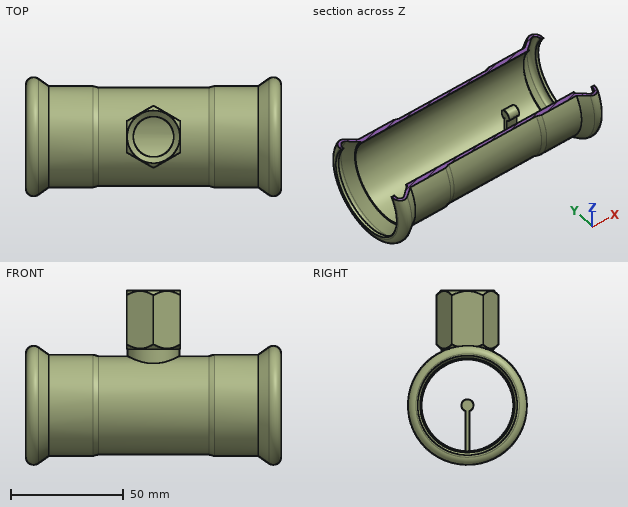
import cadquery as cq
import math

half_length = 57.0
wall = 1.6
body_radius = 22.0
socket_radius = 22.7
socket_step_x = 27.0
step_run = 2.4

lip_diameter = 53.2
bead_radius = 3.5
lip_cone_angle = math.radians(35)
mouth_radius = 22.2

hex_across_flats = 24.0
overall_height = 77.9
hex_bottom = 25.1
hex_chamfer_radius = 11.7
neck_radius = 11.6
branch_bore_radius = 9.0
countersink_depth = 2.5

pin_radius = 2.7
web_thickness = 1.9
insert_length = 5.7

lip_outer_radius = lip_diameter / 2
hex_top = overall_height - lip_outer_radius
tube_bore = body_radius - wall
groove_foot_radius = socket_radius - wall
bead_x = half_length - bead_radius
bead_center_radius = lip_outer_radius - bead_radius
hex_corner_radius = hex_across_flats / math.sqrt(3)
body_half_length = socket_step_x - step_run
insert_x = socket_step_x - insert_length


def bead_point(radius, angle):
    """Point on a circle about the bead centre, angle measured from +X."""
    return (bead_x + radius * math.cos(angle), bead_center_radius + radius * math.sin(angle))


def cone_foot_x(radius, tube_radius):
    """Axial place where the cone tangent to the bead circle meets a tube surface."""
    x, r = bead_point(radius, math.pi / 2 + lip_cone_angle)
    return x - (r - tube_radius) / math.tan(lip_cone_angle)


def socket():
    """Socket and rolled lip at the +X end, revolved about X."""
    groove_radius = bead_radius - wall
    tangent_angle = math.pi / 2 + lip_cone_angle
    middle_angle = tangent_angle / 2
    ledge_x = cone_foot_x(groove_radius, groove_foot_radius)
    return (
        cq.Workplane("XY")
        .moveTo(body_half_length, tube_bore)
        .lineTo(body_half_length, body_radius)
        .lineTo(socket_step_x, socket_radius)
        .lineTo(cone_foot_x(bead_radius, socket_radius), socket_radius)
        .lineTo(*bead_point(bead_radius, tangent_angle))
        .threePointArc(bead_point(bead_radius, middle_angle), bead_point(bead_radius, 0))
        .lineTo(half_length, mouth_radius)
        .lineTo(half_length - wall, mouth_radius)
        .lineTo(*bead_point(groove_radius, 0))
        .threePointArc(bead_point(groove_radius, middle_angle), bead_point(groove_radius, tangent_angle))
        .lineTo(ledge_x, groove_foot_radius)
        .lineTo(ledge_x, tube_bore)
        .close()
        .revolve(360, (0, 0), (1, 0))
    )


def tube_body():
    """Plain middle length of the run tube."""
    return (
        cq.Workplane("YZ", origin=(-body_half_length, 0, 0))
        .circle(body_radius)
        .circle(tube_bore)
        .extrude(2 * body_half_length)
    )


def hex_branch():
    """Neck and hexagon, with the hexagon corners turned down at both ends."""
    corner_drop = hex_corner_radius - hex_chamfer_radius
    hexagon = (
        cq.Workplane("XY", origin=(0, 0, hex_bottom))
        .polygon(6, 2 * hex_corner_radius)
        .extrude(hex_top - hex_bottom)
        .rotate((0, 0, 0), (0, 0, 1), 30)
    )
    turned_blank = (
        cq.Workplane("XY", origin=(0, 0, hex_bottom))
        .circle(hex_corner_radius)
        .extrude(hex_top - hex_bottom)
        .faces("<Z or >Z")
        .chamfer(corner_drop)
    )
    neck = cq.Workplane("XY").circle(neck_radius).extrude(hex_bottom)
    return hexagon.intersect(turned_blank).union(neck)


def branch_bore():
    """Bore from the top of the hexagon into the tube, with a conical mouth."""
    cone_base = hex_top - countersink_depth
    return (
        cq.Workplane("XZ")
        .moveTo(0, 0)
        .lineTo(branch_bore_radius, 0)
        .lineTo(branch_bore_radius, cone_base)
        .lineTo(hex_chamfer_radius, hex_top)
        .lineTo(0, hex_top)
        .close()
        .revolve(360, (0, 0), (0, 1))
    )


def keyhole_insert():
    """Axial pin held by a web that stands on the bottom of the tube bore."""
    web_height = tube_bore + wall / 2
    pin = cq.Workplane("YZ", origin=(insert_x, 0, 0)).circle(pin_radius).extrude(insert_length)
    web = (
        cq.Workplane("XY")
        .box(insert_length, web_thickness, web_height, centered=(False, True, False))
        .translate((insert_x, 0, -web_height))
    )
    return pin.union(web)


right_socket = socket()
tube = tube_body().union(right_socket).union(right_socket.mirror("YZ"))
run_bore = cq.Workplane("YZ").circle(tube_bore).extrude(body_half_length, both=True)

result = (
    tube.union(hex_branch().cut(run_bore))
    .cut(branch_bore())
    .union(keyhole_insert())
)